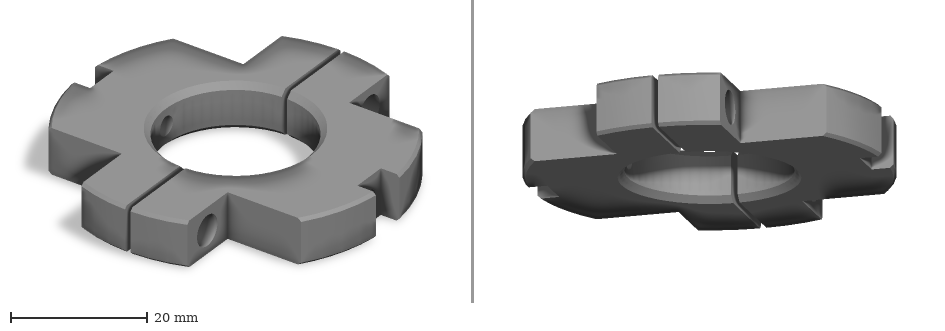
import cadquery as cq

outer_diameter = 55.0
bore_diameter = 25.0
thickness = 8.0
outer_chamfer = 0.5
bore_chamfer = 1.0

split_gap = 1.0

screw_arm_width = 19.0
wide_arm_width = 31.0

notch_width = 6.0
notch_floor_distance = 24.0

screw_hole_diameter = 5.2
screw_hole_offset = 20.7
notch_hole_diameter = 3.3

outer_radius = outer_diameter / 2


def chamfered_ring():
    """Full ring with both rims of the outside and of the bore chamfered."""
    disc = cq.Workplane("XY").circle(outer_radius).extrude(thickness)
    disc = disc.edges("%CIRCLE").chamfer(outer_chamfer)
    bore = cq.Workplane("XY").circle(bore_diameter / 2).extrude(thickness)
    bore_rims = cq.selectors.RadiusNthSelector(0)
    return disc.cut(bore).edges(bore_rims).chamfer(bore_chamfer)


def cross_prism():
    """Cross of the four arms; the corners between them are open."""
    screw_arms = cq.Workplane("XY").rect(screw_arm_width, outer_diameter).extrude(thickness)
    wide_arms = cq.Workplane("XY").rect(outer_diameter, wide_arm_width).extrude(thickness)
    return screw_arms.union(wide_arms)


def end_notches():
    """Cutters for the notches at the -X and +X ends, from the notch floor out to the rim."""
    notch_depth = outer_radius - notch_floor_distance
    notch_centre = notch_floor_distance + notch_depth / 2
    return (
        cq.Workplane("XY")
        .pushPoints([(-notch_centre, 0), (notch_centre, 0)])
        .rect(notch_depth, notch_width)
        .extrude(thickness)
    )


def holes_along_x(diameter, y_positions):
    """Cutters that pass through the whole collar along X."""
    return (
        cq.Workplane("YZ")
        .pushPoints([(y, thickness / 2) for y in y_positions])
        .circle(diameter / 2)
        .extrude(outer_radius, both=True)
    )


def whole_collar():
    """Collar before it is split."""
    screw_holes = holes_along_x(screw_hole_diameter, [-screw_hole_offset, screw_hole_offset])
    notch_holes = holes_along_x(notch_hole_diameter, [0])
    cross = chamfered_ring().intersect(cross_prism())
    return cross.cut(end_notches()).cut(screw_holes).cut(notch_holes)


def half_collar(side):
    """One half of the split collar; side is -1 for the -X half and +1 for the +X half."""
    half_length = outer_radius - split_gap / 2
    half_centre = side * (split_gap + half_length) / 2
    half_block = (
        cq.Workplane("XY")
        .center(half_centre, 0)
        .rect(half_length, outer_diameter)
        .extrude(thickness)
    )
    return whole_collar().intersect(half_block)


half_collars = [half_collar(side) for side in (-1, 1)]

result = cq.Compound.makeCompound([half.val() for half in half_collars])